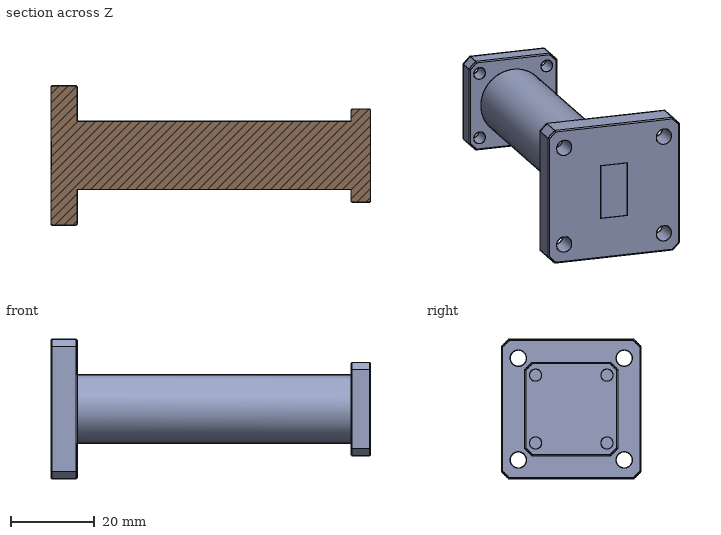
import cadquery as cq

total_length = 76.2
tube_diameter = 16.4

corner_cut = 1.75
edge_break = 0.3

large_side = 33.3
large_thickness = 6.3
large_hole_pitch_y = 25.2
large_hole_pitch_z = 24.2
large_hole_diameter = 3.8

small_side = 22.25
small_thickness = 4.7
small_hole_pitch_y = 17.0
small_hole_pitch_z = 16.15
small_hole_diameter = 2.9

window_width = 6.7
window_height = 13.2
window_depth = 0.1


def flange(start_x, side, thickness, pitch_y, pitch_z, hole_diameter):
    """Square plate with cut corners, broken face edges and four through holes."""
    plate = (
        cq.Workplane("YZ", origin=(start_x, 0, 0))
        .rect(side, side)
        .extrude(thickness)
        .edges("|X")
        .chamfer(corner_cut)
        .faces("<X or >X")
        .chamfer(edge_break)
    )
    holes = (
        cq.Workplane("YZ", origin=(start_x, 0, 0))
        .rect(pitch_y, pitch_z, forConstruction=True)
        .vertices()
        .circle(hole_diameter / 2)
        .extrude(thickness)
    )
    return plate.cut(holes)


large_flange = flange(
    0, large_side, large_thickness, large_hole_pitch_y, large_hole_pitch_z, large_hole_diameter
)
small_flange = flange(
    total_length - small_thickness,
    small_side,
    small_thickness,
    small_hole_pitch_y,
    small_hole_pitch_z,
    small_hole_diameter,
)

tube_length = total_length - large_thickness - small_thickness
tube = (
    cq.Workplane("YZ", origin=(large_thickness, 0, 0))
    .circle(tube_diameter / 2)
    .extrude(tube_length)
)

window = cq.Workplane("YZ").rect(window_width, window_height).extrude(window_depth)

result = large_flange.union(tube).union(small_flange).cut(window)